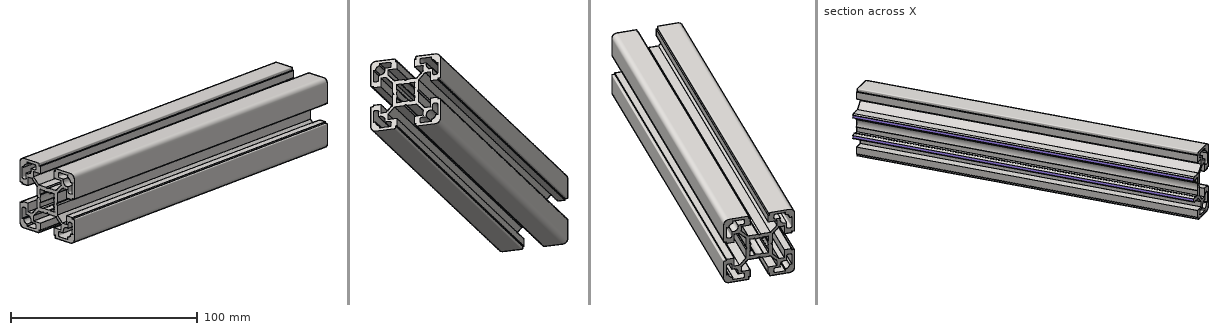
import cadquery as cq
import math

size = 40.0
length = 200.0
half_size = size / 2
corner_radius = 3.0

slot_half_width = 5.0
slot_inner_half_width = 10.0
lip_level = 14.2
mouth_step_width = 0.8
mouth_step_depth = 1.5
mouth_radius = 0.5

core_width = 15.0
core_half_width = core_width / 2
core_hole_half_width = 5.2
web_thickness = 1.7
web_offset = web_thickness / math.sqrt(2)
core_groove_half_width = 0.8
core_groove_depth = 0.5

pad_base_half_width = 2.5
pad_tip_half_width = 2.2
pad_height = 0.8
core_bore_diameter = 10.2

wall = 1.5
bore_spacing = 29.0
bore_centre = bore_spacing / 2
bore_diameter = 5.5
arm_start = 8.2
arm_end = 14.8
arm_inner_level = 15.5
arm_radius = 1.0

plane = cq.Workplane("XZ", origin=(0, length / 2, 0))
bar_axis = (0, length, 0)


def prism(points):
    """Full-length bar with the given XZ outline."""
    return plane.polyline(points).close().extrude(length)


def box_between(x_min, z_min, x_max, z_max):
    return prism([(x_min, z_min), (x_max, z_min), (x_max, z_max), (x_min, z_max)])


def turned(solid, angle):
    """Copy of a solid turned about the long axis of the bar."""
    return solid.rotate((0, 0, 0), bar_axis, angle)


def make_mouth_rounding():
    """Sliver that rounds the right outer edge of the mouth of the top slot."""
    x = slot_half_width + mouth_step_width
    corner = box_between(x, half_size - mouth_radius, x + mouth_radius, half_size)
    round_centre = (x + mouth_radius, half_size - mouth_radius)
    return corner.cut(plane.center(*round_centre).circle(mouth_radius).extrude(length))


def make_slot():
    """T-slot opening upwards, widening towards the lip and tapering down to the core."""
    right_side = [
        (core_groove_half_width, core_half_width),
        (core_half_width - web_offset, core_half_width),
        (slot_inner_half_width, slot_inner_half_width + web_offset),
        (slot_inner_half_width, lip_level),
        (slot_half_width, lip_level),
        (slot_half_width, half_size - mouth_step_depth),
        (slot_half_width + mouth_step_width, half_size - mouth_step_depth),
        (slot_half_width + mouth_step_width, half_size),
    ]
    left_side = [(-x, z) for x, z in reversed(right_side)]
    groove_bottom = (0, core_half_width - core_groove_depth)
    slot = prism([groove_bottom] + right_side + left_side)
    rounding = make_mouth_rounding()
    return slot.union(rounding).union(rounding.mirror("YZ"))


def make_arm():
    """Arm of the corner hollow that runs along the top wall."""
    arm = box_between(arm_start, arm_inner_level, arm_end, half_size - wall)
    return arm.edges("|Y and <X").fillet(arm_radius)


def make_corner_hollow():
    """Hollow of the upper right corner, symmetric about the diagonal."""
    bore = plane.center(bore_centre, bore_centre).circle(bore_diameter / 2).extrude(length)
    top_arm = make_arm()
    side_arm = turned(top_arm.mirror("YZ"), 90)
    return bore.union(top_arm).union(side_arm)


def make_pad():
    """Pad hanging from the top wall of the core hole."""
    pad_level = core_hole_half_width - pad_height
    return prism([
        (-pad_base_half_width, core_hole_half_width),
        (pad_base_half_width, core_hole_half_width),
        (pad_tip_half_width, pad_level),
        (-pad_tip_half_width, pad_level),
    ])


def make_core_hole():
    """Square hole with the padded walls opened up by the screw bore."""
    hole = box_between(
        -core_hole_half_width, -core_hole_half_width, core_hole_half_width, core_hole_half_width
    )
    pad = make_pad()
    for quarter in range(4):
        hole = hole.cut(turned(pad, 90 * quarter))
    core_bore = plane.circle(core_bore_diameter / 2).extrude(length)
    return hole.union(core_bore)


bar = plane.rect(size, size).extrude(length).edges("|Y").fillet(corner_radius)
slot = make_slot()
corner_hollow = make_corner_hollow()
for quarter in range(4):
    bar = bar.cut(turned(slot, 90 * quarter))
    bar = bar.cut(turned(corner_hollow, 90 * quarter))

result = bar.cut(make_core_hole())